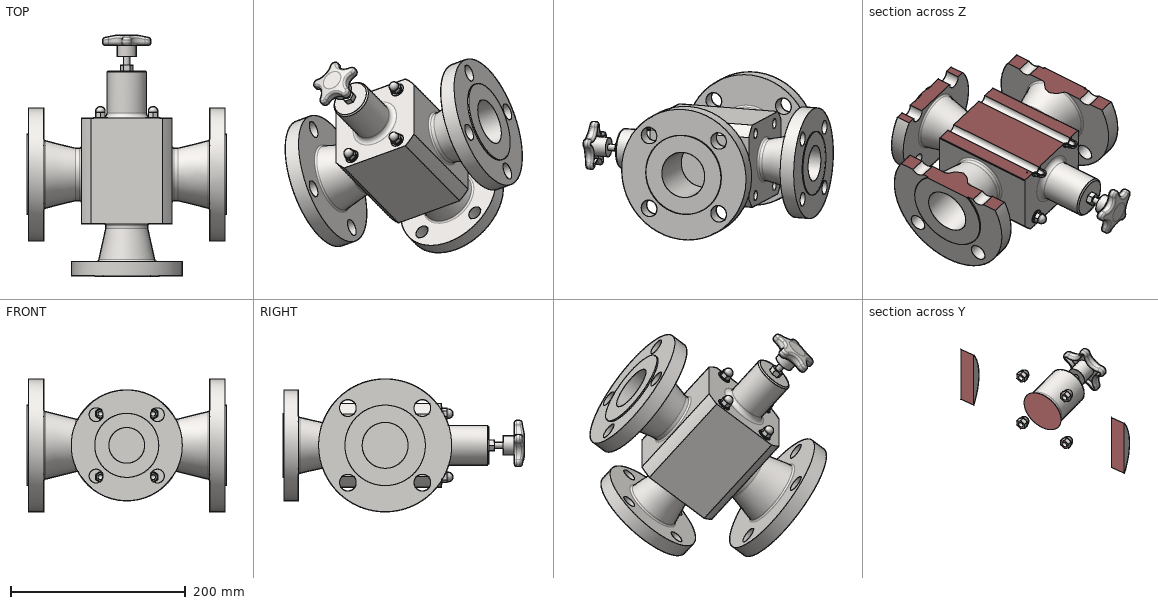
import cadquery as cq
import math

body_width = 104.0
body_height = 96.2
body_front = -56.5
body_back = 64.5
body_corner_diameter = 126.0

overall_width = 228.5
side_port_reach = overall_width / 2
side_flange_diameter = 152.3
side_flange_thickness = 18.0
side_face_diameter = 92.0
side_face_height = 1.7
side_cone_diameter = 77.5
side_neck_diameter = 60.2
side_neck_length = 6.4
side_bore_diameter = 52.5
side_bolt_diameter = 19.0
side_bolt_offset = 42.5

front_port_reach = 117.0
front_flange_diameter = 127.0
front_flange_thickness = 16.5
front_face_diameter = 73.2
front_face_height = 1.0
front_cone_diameter = 64.0
front_neck_diameter = 48.5
front_neck_length = 5.5
front_bore_diameter = 41.0
front_bolt_diameter = 15.8
front_bolt_offset = 35.0

port_fillet = 2.0

bonnet_diameter = 45.5
bonnet_back = 118.5
bonnet_chamfer = 1.7
bonnet_root_fillet = 6.0
gland_flats = 12.7
gland_height = 6.4
stem_diameter = 7.5

wheel_back = 159.5
wheel_thickness = 12.0
wheel_hub_diameter = 22.0
wheel_hub_length = 12.7
lobe_count = 5
lobe_radius = 5.3
lobe_center_radius = 23.5
valley_radius = 17.7
wheel_crown_radius = 11.5
wheel_rim_drop = 3.3
wheel_front_fillet = 2.8
wheel_back_fillet = 2.8
wheel_wall = 3.3
wheel_recess_depth = 5.5

stud_x = 30.0
stud_z = 36.2
stud_hole_diameter = 11.0
washer_diameter = 15.8
washer_bore_diameter = 9.5
washer_thickness = 0.8
cap_nut_flats = 11.0
cap_nut_hex_height = 5.5
cap_nut_height = 12.5
cap_nut_bore_diameter = 5.8


def cylinder_y(diameter, start, end, x=0, z=0):
    """Cylinder along +Y from y = start to y = end."""
    disc = cq.Workplane("XZ", origin=(x, start, z)).circle(diameter / 2)
    return disc.extrude(start - end)


def hexagon_y(flats, start, end, turn, x=0, z=0):
    """Hexagonal prism along +Y; turn = 0 puts corners on the X axis."""
    across_corners = flats / math.cos(math.pi / 6)
    plane = cq.Workplane("XZ", origin=(x, start, z)).transformed(rotate=(0, 0, turn))
    return plane.polygon(6, across_corners).extrude(start - end)


def make_port(root, reach, flange_diameter, flange_thickness, face_diameter, face_height,
              cone_diameter, neck_diameter, neck_length, bore_diameter, bolt_diameter, bolt_offset):
    """Weld-neck flange along +Z, from the body surface at z = root to its sealing face at z = reach."""
    face_plane = reach - face_height
    flange_back = face_plane - flange_thickness
    neck_radius = neck_diameter / 2
    cone_radius = cone_diameter / 2
    port = (
        cq.Workplane("XZ")
        .moveTo(bore_diameter / 2, root)
        .lineTo(neck_radius + port_fillet, root)
        .radiusArc((neck_radius, root + port_fillet), port_fillet)
        .lineTo(neck_radius, root + neck_length)
        .lineTo(cone_radius, flange_back - port_fillet)
        .radiusArc((cone_radius + port_fillet, flange_back), port_fillet)
        .lineTo(flange_diameter / 2, flange_back)
        .lineTo(flange_diameter / 2, face_plane)
        .lineTo(face_diameter / 2, face_plane)
        .lineTo(face_diameter / 2, reach)
        .lineTo(bore_diameter / 2, reach)
        .close()
        .revolve(360, (0, 0, 0), (0, 1, 0))
    )
    bolt_holes = (
        cq.Workplane("XY", origin=(0, 0, flange_back))
        .rect(2 * bolt_offset, 2 * bolt_offset, forConstruction=True)
        .vertices()
        .circle(bolt_diameter / 2)
        .extrude(flange_thickness)
    )
    return port.cut(bolt_holes)


def make_body():
    length = body_back - body_front
    block = cq.Workplane("XZ", origin=(0, body_front, 0)).rect(body_width, body_height).extrude(-length)
    body = block.intersect(cylinder_y(body_corner_diameter, body_front, body_back))
    for x in (-stud_x, stud_x):
        for z in (-stud_z, stud_z):
            body = body.cut(cylinder_y(stud_hole_diameter, body_front, body_back, x, z))
    return body


def make_bonnet():
    """Bonnet cylinder with a flared root, topped by the gland nut and stem."""
    radius = bonnet_diameter / 2
    flare_end = body_back + bonnet_root_fillet
    bonnet = (
        cq.Workplane("XY")
        .moveTo(0, body_back)
        .lineTo(radius + bonnet_root_fillet, body_back)
        .radiusArc((radius, flare_end), bonnet_root_fillet)
        .lineTo(radius, bonnet_back - bonnet_chamfer)
        .lineTo(radius - bonnet_chamfer, bonnet_back)
        .lineTo(0, bonnet_back)
        .close()
        .revolve(360, (0, 0, 0), (0, 1, 0))
    )
    gland = hexagon_y(gland_flats, bonnet_back, bonnet_back + gland_height, 0)
    stem = cylinder_y(stem_diameter, bonnet_back, wheel_back - wheel_thickness - wheel_hub_length)
    return bonnet.union(gland).union(stem)


def polar(radius, angle):
    return (radius * math.cos(angle), radius * math.sin(angle))


def star_outline(y):
    """Closed star on the plane at this y, with one lobe pointing to +Z and concave arcs between lobes."""
    pitch = 2 * math.pi / lobe_count
    side_reach = math.hypot(lobe_center_radius, lobe_radius)
    side_angle = math.atan2(lobe_radius, lobe_center_radius)
    first_lobe = math.pi / 2
    star = cq.Workplane("XZ", origin=(0, y, 0)).moveTo(*polar(side_reach, first_lobe - side_angle))
    for i in range(lobe_count):
        middle = first_lobe + i * pitch
        star = star.threePointArc(
            polar(lobe_center_radius + lobe_radius, middle),
            polar(side_reach, middle + side_angle),
        )
        star = star.threePointArc(
            polar(valley_radius, middle + pitch / 2),
            polar(side_reach, middle + pitch - side_angle),
        )
    return star.close()


def make_handwheel():
    """Star wheel with a conical back, hollowed from the front around its round hub."""
    wheel_front = wheel_back - wheel_thickness
    tip_radius = lobe_center_radius + lobe_radius
    envelope_radius = 2 * tip_radius
    cone_slope = wheel_rim_drop / (tip_radius - wheel_crown_radius)
    cone_drop = cone_slope * (envelope_radius - wheel_crown_radius)
    envelope = (
        cq.Workplane("XY")
        .moveTo(0, wheel_front)
        .lineTo(envelope_radius, wheel_front)
        .lineTo(envelope_radius, wheel_back - cone_drop)
        .lineTo(wheel_crown_radius, wheel_back)
        .lineTo(0, wheel_back)
        .close()
        .revolve(360, (0, 0, 0), (0, 1, 0))
    )
    wheel = star_outline(wheel_front).extrude(-wheel_thickness).intersect(envelope)
    back_rim = wheel.faces("%CONE").edges("not(%CIRCLE)")
    wheel = back_rim.fillet(wheel_back_fillet)
    wheel = wheel.faces("<Y").edges().fillet(wheel_front_fillet)
    recess = star_outline(wheel_front).offset2D(-wheel_wall).extrude(-wheel_recess_depth)
    hub_end = wheel_front + wheel_recess_depth
    hub = cylinder_y(wheel_hub_diameter, wheel_front - wheel_hub_length, hub_end)
    return wheel.cut(recess).union(hub)


def make_cap_nut(x, z):
    """Washer and hollow domed nut standing on the back face of the body."""
    nut_start = body_back + washer_thickness
    hex_end = nut_start + cap_nut_hex_height
    dome_radius = cap_nut_flats / 2
    dome_center = nut_start + cap_nut_height - dome_radius
    washer = cylinder_y(washer_diameter, body_back, nut_start, x, z)
    washer = washer.cut(cylinder_y(washer_bore_diameter, body_back, nut_start, x, z))
    nut = hexagon_y(cap_nut_flats, nut_start, hex_end, 90, x, z)
    nut = nut.union(cylinder_y(cap_nut_flats, nut_start, dome_center, x, z))
    nut = nut.union(cq.Workplane("XY", origin=(x, dome_center, z)).sphere(dome_radius))
    nut = nut.cut(cylinder_y(cap_nut_bore_diameter, nut_start, dome_center, x, z))
    nut = nut.cut(cq.Workplane("XY", origin=(x, dome_center, z)).sphere(cap_nut_bore_diameter / 2))
    return washer.union(nut)


side_port = make_port(
    body_width / 2, side_port_reach, side_flange_diameter, side_flange_thickness,
    side_face_diameter, side_face_height, side_cone_diameter, side_neck_diameter,
    side_neck_length, side_bore_diameter, side_bolt_diameter, side_bolt_offset,
)
front_port = make_port(
    -body_front, front_port_reach, front_flange_diameter, front_flange_thickness,
    front_face_diameter, front_face_height, front_cone_diameter, front_neck_diameter,
    front_neck_length, front_bore_diameter, front_bolt_diameter, front_bolt_offset,
)

result = make_body().union(make_bonnet()).union(make_handwheel())
for angle in (-90, 90):
    result = result.union(side_port.rotate((0, 0, 0), (0, 1, 0), angle))
result = result.union(front_port.rotate((0, 0, 0), (1, 0, 0), 90))
for x in (-stud_x, stud_x):
    for z in (-stud_z, stud_z):
        result = result.union(make_cap_nut(x, z))